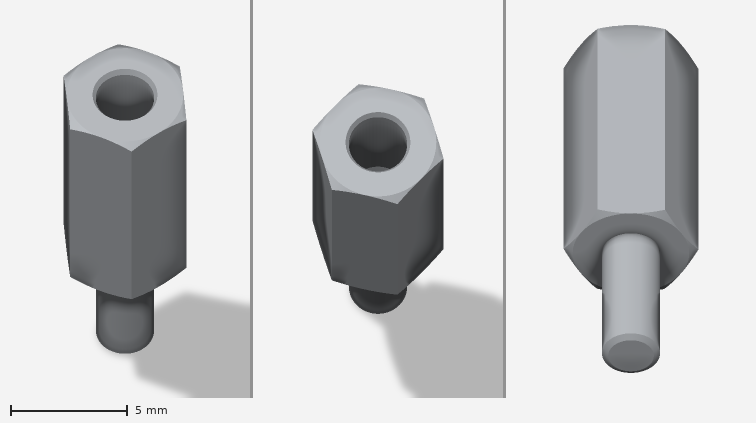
import cadquery as cq
import math

side_count = 6
across_flats = 5.007
body_length = 11.0
end_face_diameter = 5.0

stud_diameter = 2.5
stud_length = 6.0
stud_chamfer_width = 0.27

chamfer_angle = math.radians(30)

hole_diameter = 2.5
hole_depth = 6.0
drill_point_angle = math.radians(118)
mouth_diameter = 2.78
mouth_cone_angle = math.radians(60)

across_corners = across_flats / math.cos(math.pi / side_count)
body_bottom = stud_length
body_top = body_bottom + body_length


def revolve_about_z(profile_points):
    """Solid of revolution from (radius, z) points."""
    return cq.Workplane("XZ").polyline(profile_points).close().revolve(360, (0, 0), (0, 1))


def make_body():
    """Hexagonal prism with its corners conically chamfered at both ends."""
    prism = (
        cq.Workplane("XY")
        .workplane(offset=body_bottom)
        .polygon(side_count, across_corners)
        .extrude(body_length)
    )
    end_radius = end_face_diameter / 2
    corner_radius = across_corners / 2
    chamfer_height = (corner_radius - end_radius) * math.tan(chamfer_angle)
    envelope = revolve_about_z([
        (0, body_bottom),
        (end_radius, body_bottom),
        (corner_radius, body_bottom + chamfer_height),
        (corner_radius, body_top - chamfer_height),
        (end_radius, body_top),
        (0, body_top),
    ])
    return prism.intersect(envelope)


def make_stud():
    """Round stud with a chamfered tip."""
    stud_radius = stud_diameter / 2
    chamfer_height = stud_chamfer_width * math.tan(chamfer_angle)
    return revolve_about_z([
        (0, 0),
        (stud_radius - stud_chamfer_width, 0),
        (stud_radius, chamfer_height),
        (stud_radius, stud_length),
        (0, stud_length),
    ])


def make_hole():
    """Drilled hole with a countersunk mouth and a conical bottom."""
    hole_radius = hole_diameter / 2
    mouth_radius = mouth_diameter / 2
    mouth_depth = (mouth_radius - hole_radius) / math.tan(mouth_cone_angle / 2)
    point_height = hole_radius / math.tan(drill_point_angle / 2)
    shoulder = body_top - hole_depth
    return revolve_about_z([
        (0, shoulder - point_height),
        (hole_radius, shoulder),
        (hole_radius, body_top - mouth_depth),
        (mouth_radius, body_top),
        (0, body_top),
    ])


result = make_body().union(make_stud()).cut(make_hole())